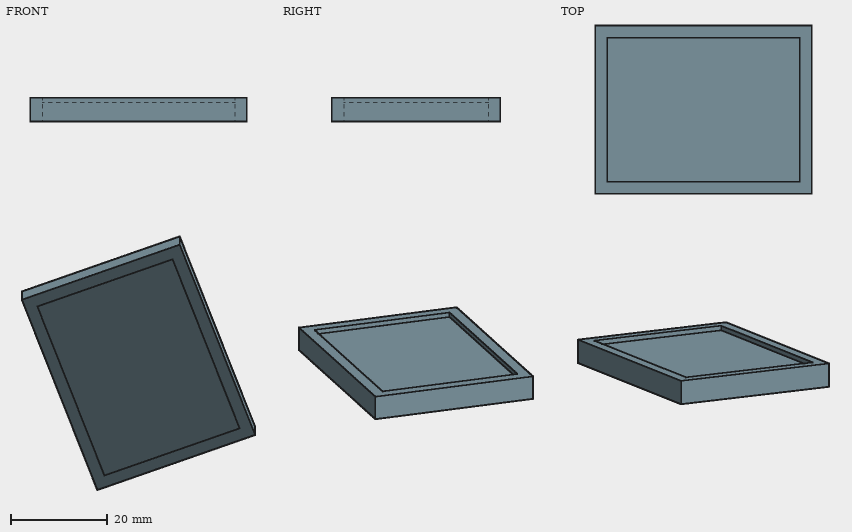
import cadquery as cq

length = 45.0
width = 35.0
height = 5.0

rim_width = 2.5
panel_recess = 1.0

opening_length = length - 2 * rim_width
opening_width = width - 2 * rim_width
panel_thickness = height - panel_recess


def block(size_x, size_y, size_z):
    """Rectangular block centred in X and Y, standing on Z = 0."""
    return cq.Workplane("XY").box(size_x, size_y, size_z, centered=(True, True, False))


def make_frame():
    """Rectangular frame with an opening through its full height."""
    return block(length, width, height).cut(block(opening_length, opening_width, height))


def make_panel():
    """Flat panel seated in the frame opening."""
    return block(opening_length, opening_width, panel_thickness)


frame = make_frame()
panel = make_panel()

result = cq.Compound.makeCompound([frame.val(), panel.val()])